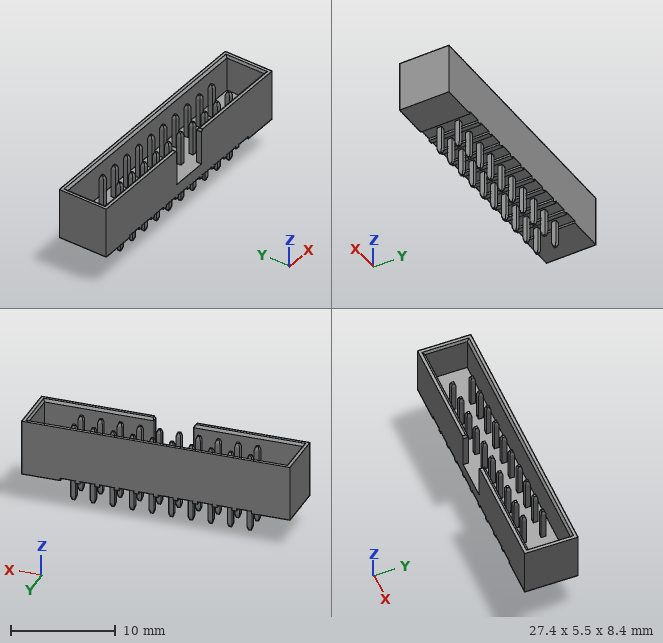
import cadquery as cq

length = 27.35
width = 5.5
height = 5.7
floor_depth = 4.05
end_wall = 0.52
side_wall = 0.57

bevel_depth = 0.25
bevel_x = 0.178
bevel_y = 0.25

notch_width = 4.05

pin_columns = 10
pin_rows = 2
pitch = 2.0
pin_size = 0.5
pin_tip_size = 0.25
pin_taper = 0.38
pin_top_gap = 0.38
pin_tail = 2.7

groove_width = 1.5
groove_depth = 0.25

floor_z = height - floor_depth
bevel_z = height - bevel_depth
cavity_length = length - 2 * end_wall
cavity_width = width - 2 * side_wall
column_xs = [(i - (pin_columns - 1) / 2) * pitch for i in range(pin_columns)]
row_ys = [(j - (pin_rows - 1) / 2) * pitch for j in range(pin_rows)]


def block(size_x, size_y, z_bottom, z_top):
    """Upright block centred on the Z axis."""
    return cq.Workplane("XY").workplane(offset=z_bottom).rect(size_x, size_y).extrude(z_top - z_bottom)


def frustum(bottom_size, top_size, z_bottom, z_top):
    """Rectangular frustum centred on the Z axis; sizes are (x, y) pairs."""
    return (
        cq.Workplane("XY").workplane(offset=z_bottom).rect(*bottom_size)
        .workplane(offset=z_top - z_bottom).rect(*top_size)
        .loft(ruled=True)
    )


def make_cavity():
    """Pin cavity with its bevelled mouth."""
    mouth = frustum(
        (cavity_length, cavity_width),
        (cavity_length + 2 * bevel_x, cavity_width + 2 * bevel_y),
        bevel_z,
        height,
    )
    return block(cavity_length, cavity_width, floor_z, bevel_z).union(mouth)


def make_notch():
    """Notch through the -Y wall, down to the cavity floor and bevelled at the top."""
    half_width = notch_width / 2
    half_mouth = half_width + bevel_x
    profile = [
        (-half_width, floor_z),
        (half_width, floor_z),
        (half_width, bevel_z),
        (half_mouth, height),
        (-half_mouth, height),
        (-half_width, bevel_z),
    ]
    return cq.Workplane("XZ").polyline(profile).close().extrude(width / 2)


def make_pin():
    """Square pin, tapered at both ends."""
    pin_bottom = -pin_tail
    pin_top = height - pin_top_gap
    shaft_bottom = pin_bottom + pin_taper
    shaft_top = pin_top - pin_taper
    shaft = (pin_size, pin_size)
    tip = (pin_tip_size, pin_tip_size)
    return (
        block(pin_size, pin_size, shaft_bottom, shaft_top)
        .union(frustum(tip, shaft, pin_bottom, shaft_bottom))
        .union(frustum(shaft, tip, shaft_top, pin_top))
    )


result = block(length, width, 0, height).cut(make_cavity()).cut(make_notch())

groove = block(groove_width, width, 0, groove_depth)
for x in column_xs:
    result = result.cut(groove.translate((x, 0, 0)))

pin = make_pin()
for x in column_xs:
    for y in row_ys:
        result = result.union(pin.translate((x, y, 0)))